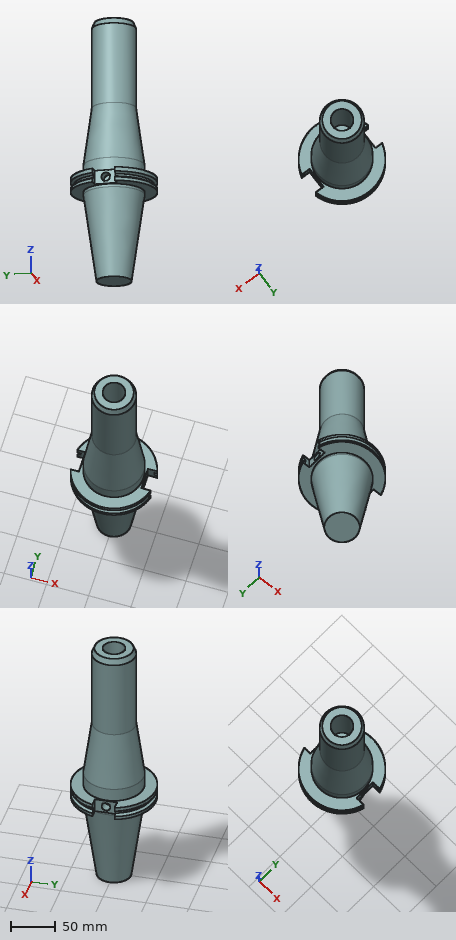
import cadquery as cq

gauge_z = 101.8
flange_bottom_z = 105.0
flange_height = 16.0
collar_top_z = 136.5
nose_start_z = 204.2
total_height = 304.8

gauge_radius = 34.9
shank_taper = 7 / 24
collar_radius = gauge_radius
nose_radius = 25.3
nose_chamfer_width = 3.0
nose_chamfer_height = 7.0
flange_radius = 49.23

groove_lower_z = 108.8
groove_upper_z = 115.8
groove_depth = 3.7
groove_flank_height = 2.0

slot_width = 26.0
left_slot_floor_distance = 37.8
right_slot_floor_distance = 36.3
slot_hole_diameter = 10.0
slot_hole_depth = 12.2
bore_diameter = 25.5
bore_depth = 76.2

flange_top_z = flange_bottom_z + flange_height
shank_end_radius = gauge_radius - gauge_z * shank_taper / 2
groove_floor_radius = flange_radius - groove_depth


def turned_body():
    """Revolve the half profile of shank, grooved flange, collar and nose."""
    profile = [
        (0, 0),
        (shank_end_radius, 0),
        (gauge_radius, gauge_z),
        (gauge_radius, flange_bottom_z),
        (flange_radius, flange_bottom_z),
        (flange_radius, groove_lower_z),
        (groove_floor_radius, groove_lower_z + groove_flank_height),
        (groove_floor_radius, groove_upper_z - groove_flank_height),
        (flange_radius, groove_upper_z),
        (flange_radius, flange_top_z),
        (collar_radius, flange_top_z),
        (collar_radius, collar_top_z),
        (nose_radius, nose_start_z),
        (nose_radius, total_height - nose_chamfer_height),
        (nose_radius - nose_chamfer_width, total_height),
        (0, total_height),
    ]
    return cq.Workplane("XZ").polyline(profile).close().revolve(360, (0, 0), (0, 1))


def drive_slot(side, floor_distance):
    """Cutter for the slot on one side (+1 or -1 along X) and the blind hole in its floor."""
    slot_depth = flange_radius - floor_distance
    slot = cq.Workplane("XY").box(slot_depth, slot_width, flange_height).translate(
        (side * (floor_distance + slot_depth / 2), 0, flange_bottom_z + flange_height / 2)
    )
    hole = (
        cq.Workplane("YZ", origin=(side * floor_distance, 0, flange_bottom_z + flange_height / 2))
        .circle(slot_hole_diameter / 2)
        .extrude(-side * slot_hole_depth)
    )
    return slot.union(hole)


def tool_bore():
    """Cutter for the blind bore in the nose."""
    return (
        cq.Workplane("XY", origin=(0, 0, total_height))
        .circle(bore_diameter / 2)
        .extrude(-bore_depth)
    )


result = turned_body().cut(tool_bore())
result = result.cut(drive_slot(-1, left_slot_floor_distance))
result = result.cut(drive_slot(1, right_slot_floor_distance))